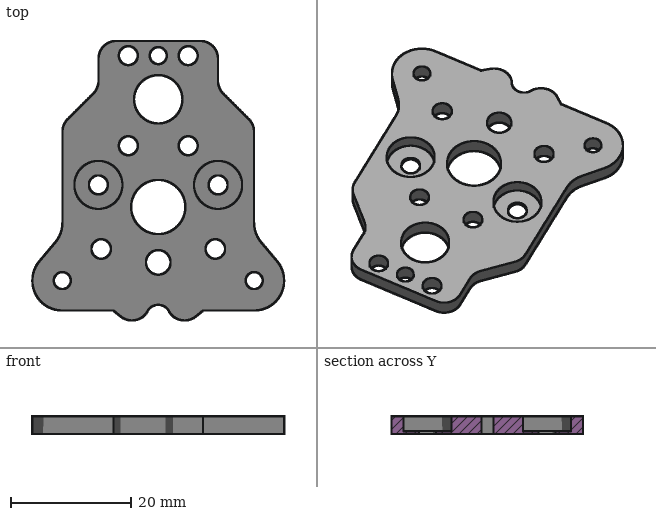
import cadquery as cq
import math

overall_width = 42.0
thickness = 3.0
top_y = 27.7
neck_half_width = 9.97
body_half_width = 16.0
shoulder_top_y = 19.75
shoulder_bottom_y = shoulder_top_y - (body_half_width - neck_half_width)
shoulder_radius = 3.0

ear_radius = overall_width / 2 - body_half_width
ear_y = -12.25
waist_y = -4.47
waist_radius = 5.0
base_y = ear_y - ear_radius

lobe_x = 4.4
lobe_radius = 3.0
lobe_bottom_y = -18.92
lobe_y = lobe_bottom_y + lobe_radius
ramp_angle = math.radians(39)
notch_top_y = -16.3
notch_radius = (lobe_x**2 + (lobe_y - notch_top_y)**2 - lobe_radius**2) / (
    2 * (lobe_radius + lobe_y - notch_top_y)
)
notch_y = notch_top_y - notch_radius

main_bore_diameter = 9.0
upper_bore_diameter = 8.0
upper_bore_y = 17.95
lower_bore_diameter = 4.05
lower_bore_y = -9.25
screw_diameter = 3.1
small_diameter = 2.8
wide_diameter = 3.2
top_row_y = 25.2
upper_screw_x = 5.0
middle_screw_y = 10.2
lower_screw_x = 9.5
lower_screw_y = -7.0

counterbore_x = neck_half_width
counterbore_y = 3.7
counterbore_diameter = 8.0
counterbore_depth = 2.45


def on_circle(x, y, radius, angle):
    """Point on a circle at an angle in radians."""
    return x + radius * math.cos(angle), y + radius * math.sin(angle)


def mirrored(point):
    """Point reflected to the other side of the plate."""
    return -point[0], point[1]


def fillet_upright_edges(plate, low_y, high_y, radius):
    """Round the upright edges that lie between two Y positions."""
    margin = 0.45
    reach = body_half_width + margin
    zone = cq.selectors.BoxSelector((-reach, low_y - margin, 0), (reach, high_y + margin, thickness))
    return plate.edges("|Z").edges(zone).fillet(radius)


def make_plate():
    flank_angle = math.asin(ear_radius / (waist_y - ear_y))
    ear_start = on_circle(body_half_width, ear_y, ear_radius, flank_angle)
    ear_side = on_circle(body_half_width, ear_y, ear_radius, -math.pi / 4)
    ear_end = (body_half_width, base_y)

    lobe_start = on_circle(lobe_x, lobe_y, lobe_radius, ramp_angle - math.pi / 2)
    ramp_start = (lobe_start[0] + (base_y - lobe_start[1]) / math.tan(ramp_angle), base_y)
    lobe_bottom = (lobe_x, lobe_bottom_y)
    lobe_end_angle = math.atan2(notch_y - lobe_y, -lobe_x)
    lobe_end = on_circle(lobe_x, lobe_y, lobe_radius, lobe_end_angle)

    outline = (
        cq.Workplane("XY")
        .moveTo(neck_half_width, top_y)
        .lineTo(neck_half_width, shoulder_top_y)
        .lineTo(body_half_width, shoulder_bottom_y)
        .lineTo(body_half_width, waist_y)
        .lineTo(*ear_start)
        .threePointArc(ear_side, ear_end)
        .lineTo(*ramp_start)
        .lineTo(*lobe_start)
        .threePointArc(lobe_bottom, lobe_end)
        .threePointArc((0, notch_top_y), mirrored(lobe_end))
        .threePointArc(mirrored(lobe_bottom), mirrored(lobe_start))
        .lineTo(*mirrored(ramp_start))
        .lineTo(*mirrored(ear_end))
        .threePointArc(mirrored(ear_side), mirrored(ear_start))
        .lineTo(-body_half_width, waist_y)
        .lineTo(-body_half_width, shoulder_bottom_y)
        .lineTo(-neck_half_width, shoulder_top_y)
        .lineTo(-neck_half_width, top_y)
        .close()
    )
    plate = outline.extrude(thickness)
    plate = fillet_upright_edges(plate, shoulder_bottom_y, top_y, shoulder_radius)
    return fillet_upright_edges(plate, waist_y, waist_y, waist_radius)


def drill(plate, points, diameter):
    """Cut through holes of one diameter at the given points."""
    holes = cq.Workplane("XY").pushPoints(points).circle(diameter / 2).extrude(thickness)
    return plate.cut(holes)


def pair(x, y):
    """Two points placed symmetrically about the centre line."""
    return [(-x, y), (x, y)]


hole_groups = [
    ([(0, 0)], main_bore_diameter),
    ([(0, upper_bore_y)], upper_bore_diameter),
    ([(0, lower_bore_y)], lower_bore_diameter),
    ([(0, top_row_y)], small_diameter),
    (pair(upper_screw_x, top_row_y), screw_diameter),
    (pair(upper_screw_x, middle_screw_y), screw_diameter),
    (pair(lower_screw_x, lower_screw_y), wide_diameter),
    (pair(body_half_width, ear_y), small_diameter),
]

result = make_plate()
for hole_points, hole_diameter in hole_groups:
    result = drill(result, hole_points, hole_diameter)

result = (
    result.faces(">Z")
    .workplane(origin=(0, 0, thickness))
    .pushPoints(pair(counterbore_x, counterbore_y))
    .cboreHole(screw_diameter, counterbore_diameter, counterbore_depth)
)